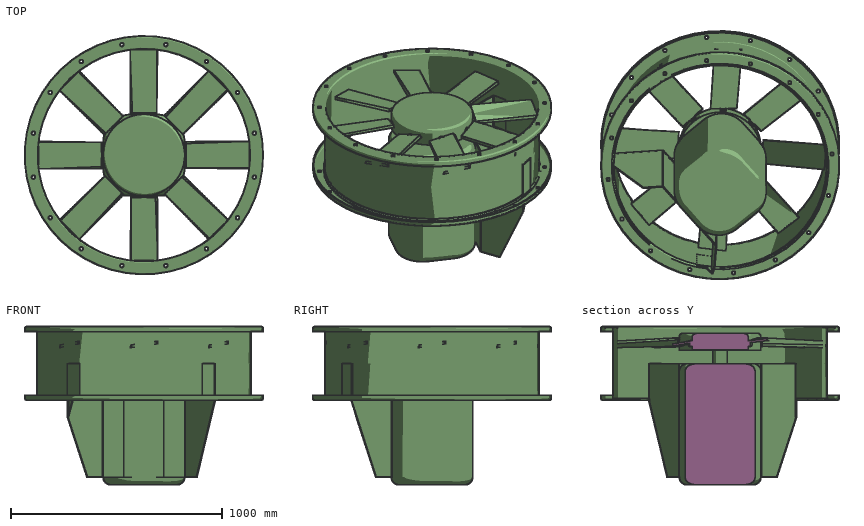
import cadquery as cq
import math

flange_radius = 565.0
top_z = 750.0

sheet_thickness = 5.0

barrel_bore_radius = 503.0
barrel_outer_radius = barrel_bore_radius + sheet_thickness
casing_bottom_z = 400.0
outer_bend = 11.0
rim_height = 25.0
bolt_count = 16
bolt_circle_radius = 533.0
bolt_hole_diameter = 16.0

motor_half_width = 193.0
motor_corner_radius = 133.0
motor_height = 574.0
motor_edge_rounding = 37.0

hub_radius = motor_half_width
hub_top_z = 719.0
hub_bottom_z = 638.0
hub_rounding = 18.0
shaft_radius = 34.0

blade_count = 8
blade_root_radius = 200.0
blade_tip_radius = 500.0
blade_root_z = 684.0
blade_tip_z = 671.0
blade_root_pitch = 13.5
blade_tip_pitch = 8.0
blade_thickness = 12.0
stub_radius = 15.0
stub_embedding = 11.0

bracket_bottom_z = motor_edge_rounding
bracket_top_z = motor_height
tab_length = 72.0
tab_edge_slope = 0.37
tab_outer_radius = barrel_outer_radius + 1.0
tab_cutter_depth = 68.0


def casing():
    """Spun sheet: a barrel that bends outward at both ends into flanges with returned rims."""
    half_height = (top_z - casing_bottom_z) / 2
    inner_bend = outer_bend - sheet_thickness
    inside_face = half_height - sheet_thickness
    body = (
        cq.Workplane("XZ", origin=(0, 0, casing_bottom_z + half_height))
        .moveTo(barrel_bore_radius, 0)
        .lineTo(barrel_bore_radius, half_height - outer_bend)
        .radiusArc((barrel_bore_radius + outer_bend, half_height), outer_bend)
        .lineTo(flange_radius - outer_bend, half_height)
        .radiusArc((flange_radius, half_height - outer_bend), outer_bend)
        .lineTo(flange_radius, half_height - rim_height)
        .lineTo(flange_radius - sheet_thickness, half_height - rim_height)
        .lineTo(flange_radius - sheet_thickness, half_height - outer_bend)
        .radiusArc((flange_radius - outer_bend, inside_face), -inner_bend)
        .lineTo(barrel_outer_radius + inner_bend, inside_face)
        .radiusArc((barrel_outer_radius, half_height - outer_bend), -inner_bend)
        .lineTo(barrel_outer_radius, 0)
        .mirrorX()
        .revolve(360, (0, 0, 0), (0, 1, 0))
    )
    bolt_holes = (
        cq.Workplane("XY")
        .workplane(offset=casing_bottom_z)
        .polarArray(bolt_circle_radius, 180 / bolt_count, 360, bolt_count)
        .circle(bolt_hole_diameter / 2)
        .extrude(top_z - casing_bottom_z)
    )
    return body.cut(bolt_holes)


def motor():
    """Motor housing, rounded at its corners and around both ends."""
    side = 2 * motor_half_width
    return (
        cq.Workplane("XY")
        .rect(side, side)
        .extrude(motor_height)
        .edges("|Z")
        .fillet(motor_corner_radius)
        .faces("<Z or >Z")
        .edges()
        .fillet(motor_edge_rounding)
    )


def hub():
    """Impeller hub with its shaft down into the motor."""
    body = (
        cq.Workplane("XY")
        .workplane(offset=hub_bottom_z)
        .circle(hub_radius)
        .extrude(hub_top_z - hub_bottom_z)
        .faces(">Z")
        .edges()
        .fillet(hub_rounding)
    )
    shaft_bottom_z = motor_height - motor_edge_rounding
    shaft = (
        cq.Workplane("XY")
        .workplane(offset=shaft_bottom_z)
        .circle(shaft_radius)
        .extrude(hub_bottom_z - shaft_bottom_z)
    )
    return body.union(shaft)


def blade_section(upper_low, upper_high, lower_low, lower_high, middle_z, pitch):
    """Blade corners as (Y, Z) points: upper face, then lower face, tilted by the pitch."""
    rise = math.tan(math.radians(pitch))
    upper = [(y, middle_z + y * rise) for y in (upper_low, upper_high)]
    lower = [(y, middle_z + y * rise - blade_thickness) for y in (lower_high, lower_low)]
    return upper + lower


def blade():
    """Twisted blade along +X: bevelled on the high edge at the root, on the low edge at the tip."""
    root = blade_section(-61.0, 54.0, -61.0, 64.0, blade_root_z, blade_root_pitch)
    tip = blade_section(-60.0, 65.0, -65.0, 65.0, blade_tip_z, blade_tip_pitch)
    body = (
        cq.Workplane("YZ")
        .workplane(offset=blade_root_radius)
        .polyline(root)
        .close()
        .workplane(offset=blade_tip_radius - blade_root_radius)
        .polyline(tip)
        .close()
        .loft(ruled=True)
    )
    stub_z = blade_root_z - stub_radius
    stub_start = hub_radius - stub_embedding
    stub = (
        cq.Workplane("YZ", origin=(stub_start, 0, stub_z))
        .circle(stub_radius)
        .extrude(blade_root_radius - stub_start)
    )
    return body.union(stub)


def bracket_wing(side, wing_angle, foot_length, edge_slope):
    """Bent wing of the bracket with the curved tab that holds it to the barrel.

    side is +1 toward +X and -1 toward -X. The wing leaves the motor corner wing_angle
    degrees away from the X axis; its outer edge leans out by edge_slope per unit of height.
    """
    angle = math.radians(wing_angle)
    direction = (math.cos(angle), -math.sin(angle))

    along = motor_half_width * (direction[0] - direction[1])
    reach = -along + math.sqrt(along**2 + tab_outer_radius**2 - 2 * motor_half_width**2)
    reach_z = bracket_bottom_z + (reach - foot_length) / edge_slope

    wing_plane = cq.Plane(
        origin=(motor_half_width, -motor_half_width, 0),
        xDir=(direction[0], direction[1], 0),
        normal=(direction[1], -direction[0], 0),
    )
    wing = (
        cq.Workplane(wing_plane)
        .moveTo(0, bracket_bottom_z)
        .lineTo(foot_length, bracket_bottom_z)
        .lineTo(reach, reach_z)
        .lineTo(reach, bracket_top_z)
        .lineTo(0, bracket_top_z)
        .close()
        .extrude(-sheet_thickness)
    )

    end_x = motor_half_width + reach * direction[0]
    end_y = -motor_half_width + reach * direction[1]
    tab_plane = cq.Plane(
        origin=(end_x, end_y, 0),
        xDir=(end_y, -end_x, 0),
        normal=(-end_x, -end_y, 0),
    )
    step_z = casing_bottom_z + sheet_thickness / 2
    step_width = (step_z - reach_z) * tab_edge_slope
    tab_outline = (
        cq.Workplane(tab_plane)
        .moveTo(0, reach_z)
        .lineTo(step_width, step_z)
        .lineTo(tab_length, step_z)
        .lineTo(tab_length, bracket_top_z)
        .lineTo(0, bracket_top_z)
        .close()
        .extrude(tab_cutter_depth, both=True)
    )
    tab_ring = (
        cq.Workplane("XY")
        .circle(tab_outer_radius)
        .circle(tab_outer_radius - sheet_thickness)
        .extrude(top_z)
    )
    half = wing.union(tab_ring.intersect(tab_outline))
    if side < 0:
        half = half.mirror("YZ")
    return half


def bracket():
    """Bent sheet: a plate flush with the -Y side of the motor and a wing at each end."""
    plate = cq.Workplane("XY").box(
        2 * motor_half_width,
        sheet_thickness,
        bracket_top_z - bracket_bottom_z,
        centered=(True, False, False),
    ).translate((0, -motor_half_width, bracket_bottom_z))
    left_wing = bracket_wing(-1, 45.0, 104.0, 0.46)
    right_wing = bracket_wing(1, 53.3, 92.0, 0.4)
    return plate.union(left_wing).union(right_wing)


result = casing().union(motor()).union(hub()).union(bracket(), clean=False)
for index in range(blade_count):
    turned_blade = blade().rotate((0, 0, 0), (0, 0, 1), index * 360 / blade_count)
    result = result.union(turned_blade, clean=False)